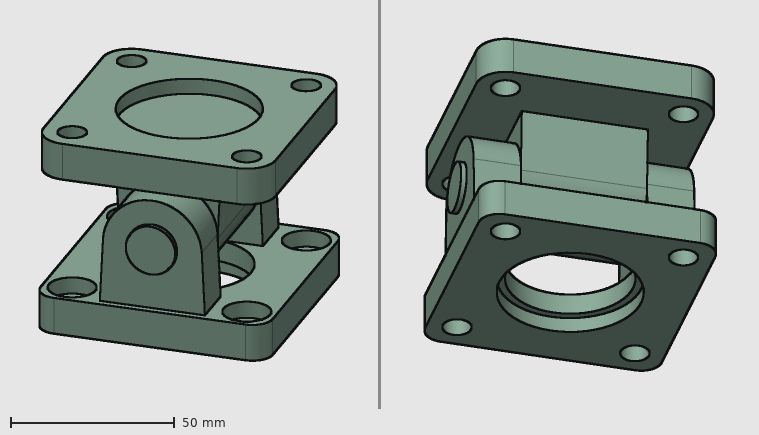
import cadquery as cq
import math

flange_side = 75.0
flange_thickness = 12.0
total_height = 64.0
hole_spacing = 56.4
hole_diameter = 9.0
upper_corner_radius = (flange_side - hole_spacing) / 2
lower_corner_radius = 6.5
counterbore_diameter = 15.0
counterbore_depth = 5.4
recess_diameter = 45.0
recess_depth = 5.0
bore_diameter = 40.0

axis_height = total_height / 2
knuckle_radius = 16.0
draft_angle = math.radians(2.8)
eye_width = 40.0
clevis_width = 70.0
lug_thickness = (clevis_width - eye_width) / 2
pin_diameter = 16.0
pin_length = 73.5


def make_flange(base_z, corner_radius):
    """Square plate with rounded corners and a through hole near each corner."""
    return (
        cq.Workplane("XY", origin=(0, 0, base_z))
        .rect(flange_side, flange_side)
        .extrude(flange_thickness)
        .edges("|Z")
        .fillet(corner_radius)
        .faces(">Z")
        .workplane()
        .rect(hole_spacing, hole_spacing, forConstruction=True)
        .vertices()
        .hole(hole_diameter)
    )


def make_cylinder_y(diameter, length):
    """Cylinder on the hinge axis, centred on Y = 0."""
    return (
        cq.Workplane("XZ", origin=(0, 0, axis_height))
        .circle(diameter / 2)
        .extrude(length / 2, both=True)
    )


def make_knuckle(center_y, width, direction):
    """Drafted, round-ended block from a flange to the hinge axis.

    The direction is -1 for a root below the axis and 1 for a root above it.
    The straight sides are tangent to the round end.
    """
    root_distance = axis_height - flange_thickness
    root_half_width = (
        knuckle_radius + root_distance * math.sin(draft_angle)
    ) / math.cos(draft_angle)
    tangent_x = knuckle_radius * math.cos(draft_angle)
    tangent_z = -direction * knuckle_radius * math.sin(draft_angle)
    root_z = direction * root_distance
    return (
        cq.Workplane("XZ", origin=(0, center_y, axis_height))
        .moveTo(-root_half_width, root_z)
        .lineTo(-tangent_x, tangent_z)
        .threePointArc((0, -direction * knuckle_radius), (tangent_x, tangent_z))
        .lineTo(root_half_width, root_z)
        .close()
        .extrude(width / 2, both=True)
    )


def make_disc(diameter, base_z, depth):
    """Upright cylinder on the Z axis."""
    return cq.Workplane("XY", origin=(0, 0, base_z)).circle(diameter / 2).extrude(depth)


def make_clevis():
    """Lower flange with two lugs that carry the integral hinge pin."""
    counterbores = (
        cq.Workplane("XY", origin=(0, 0, flange_thickness))
        .rect(hole_spacing, hole_spacing, forConstruction=True)
        .vertices()
        .circle(counterbore_diameter / 2)
        .extrude(-counterbore_depth)
    )
    body = make_flange(0, lower_corner_radius)
    body = body.cut(counterbores)
    body = body.cut(make_disc(bore_diameter, 0, flange_thickness))
    body = body.cut(make_disc(recess_diameter, 0, recess_depth))
    for side in (-1, 1):
        lug_y = side * (eye_width + lug_thickness) / 2
        body = body.union(make_knuckle(lug_y, lug_thickness, -1))
    return body.union(make_cylinder_y(pin_diameter, pin_length))


def make_eye_bracket():
    """Upper flange with a central recess and a single eye bored for the pin."""
    body = make_flange(total_height - flange_thickness, upper_corner_radius)
    body = body.cut(make_disc(recess_diameter, total_height - recess_depth, recess_depth))
    body = body.union(make_knuckle(0, eye_width, 1))
    return body.cut(make_cylinder_y(pin_diameter, eye_width))


clevis = make_clevis()
eye_bracket = make_eye_bracket()

result = cq.Compound.makeCompound([clevis.solids().val(), eye_bracket.solids().val()])